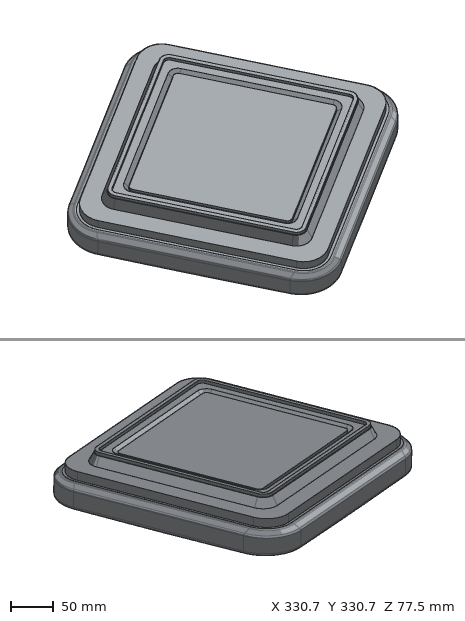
import cadquery as cq
import math


TOTAL_HEIGHT = 77.5
GASKET_HEIGHT = 4.0
LEDGE_HEIGHT = 11.5
BASE_HEIGHT = 11.2
LEDGE_Z = TOTAL_HEIGHT - GASKET_HEIGHT
BASE_TOP_Z = LEDGE_Z - LEDGE_HEIGHT
BASE_Z = BASE_TOP_Z - BASE_HEIGHT

DIFFUSER_SIDE = 330.7
DIFFUSER_CORNER = 48.5
RIM_INSET = 8.0
RIM_CORNER = 37.0
SHOULDER_HEIGHT = 6.3
DOME_EDGE_Z = 19.5
DOME_EDGE_SLOPE = 0.4
DOME_FILLET = 4.0
SHOULDER_FILLET = 3.5
RIM_FILLET = 2.5
LEVEL_TOLERANCE = 0.03

CORNER_CENTRE = 120.7
FLANGE_SIDE = 308.2
FLANGE_THICKNESS = 3.3
BASE_SIDE = 301.0

LEDGE_CORNER_CENTRE = 108.5
LEDGE_FOOT_SIDE = 255.3
LEDGE_SIDE = 242.7
GASKET_SIDE = 240.7
GASKET_WIDTH = 5.0

RECESS_CORNER_CENTRE = 93.3
RECESS_SIDE = 211.0
RECESS_FLOOR_SIDE = 199.0
RECESS_DEPTH = 5.5

PANEL_SIDE = 198.5
PANEL_DROP = 2.0


def rounded_square(side, corner, z):
    """Sketch of a centred square with round corners at height z."""
    sketch = cq.Sketch().rect(side, side).vertices().fillet(corner)
    return sketch.moved(cq.Location(cq.Vector(0, 0, z)))


def block(side, corner_centre, z, height, top_side=None):
    """Rounded square block, tapered to top_side; its corners stay centred on corner_centre."""
    slope = 0 if top_side is None else math.degrees(math.atan2((side - top_side) / 2, height))
    outline = rounded_square(side, side / 2 - corner_centre, z)
    return cq.Workplane().placeSketch(outline).extrude(height, taper=slope)


def dome_face(outline):
    """Shallow pillow surface from the outline down to its lowest point."""
    half = DIFFUSER_SIDE / 2
    ribs = []
    for x, y in ((1, 0), (0, 1)):
        start = cq.Vector(-half * x, -half * y, DOME_EDGE_Z)
        lowest = cq.Vector(0, 0, 0)
        end = cq.Vector(half * x, half * y, DOME_EDGE_Z)
        falling = cq.Vector(x, y, -DOME_EDGE_SLOPE)
        rising = cq.Vector(x, y, DOME_EDGE_SLOPE)
        ribs.append(cq.Edge.makeSpline([start, lowest, end], tangents=[falling, rising]))
    return cq.Face.makeNSidedSurface(outline.Edges(), ribs)


def edges_at(body, z):
    """Level edges of the body at height z."""
    reach = DIFFUSER_SIDE
    low = (-reach, -reach, z - LEVEL_TOLERANCE)
    high = (reach, reach, z + LEVEL_TOLERANCE)
    level_edges = cq.selectors.BoxSelector(low, high, boundingbox=True)
    return cq.Workplane(body).edges(level_edges).vals()


def make_diffuser():
    """Domed body with softened edges, with a seat in its top for the flange of the base."""
    shoulder_z = BASE_Z - SHOULDER_HEIGHT
    rim_side = DIFFUSER_SIDE - 2 * RIM_INSET
    outlines = [
        rounded_square(DIFFUSER_SIDE, DIFFUSER_CORNER, DOME_EDGE_Z),
        rounded_square(DIFFUSER_SIDE, DIFFUSER_CORNER, shoulder_z),
        rounded_square(rim_side, RIM_CORNER, BASE_Z),
    ]
    wall = cq.Workplane().placeSketch(*outlines).loft(ruled=True)
    bottom = wall.faces("<Z").val()
    walls_and_top = wall.faces("not <Z").vals()
    dome = dome_face(bottom.outerWire())
    body = cq.Solid.makeSolid(cq.Shell.makeShell(walls_and_top + [dome])).fix()
    body = body.fillet(DOME_FILLET, edges_at(body, DOME_EDGE_Z))
    body = body.fillet(SHOULDER_FILLET, edges_at(body, shoulder_z))
    body = body.fillet(RIM_FILLET, edges_at(body, BASE_Z))
    return cq.Workplane(body).cut(make_flange())


def make_flange():
    """Bottom flange of the base, flush with the top of the diffuser."""
    return block(FLANGE_SIDE, CORNER_CENTRE, BASE_Z - FLANGE_THICKNESS, FLANGE_THICKNESS)


def make_base():
    """Mounting base: a flange, a foot, a raised tapered ledge and a shallow recess in its top."""
    foot = block(BASE_SIDE, CORNER_CENTRE, BASE_Z, BASE_HEIGHT)
    ledge = block(LEDGE_FOOT_SIDE, LEDGE_CORNER_CENTRE, BASE_TOP_Z, LEDGE_HEIGHT, LEDGE_SIDE)
    floor_z = LEDGE_Z - RECESS_DEPTH
    recess = block(RECESS_FLOOR_SIDE, RECESS_CORNER_CENTRE, floor_z, RECESS_DEPTH, RECESS_SIDE)
    return make_flange().union(foot).union(ledge).cut(recess)


def make_gasket():
    """Flat square ring on the ledge."""
    opening_side = GASKET_SIDE - 2 * GASKET_WIDTH
    outer = block(GASKET_SIDE, LEDGE_CORNER_CENTRE, LEDGE_Z, GASKET_HEIGHT)
    opening = block(opening_side, LEDGE_CORNER_CENTRE, LEDGE_Z, GASKET_HEIGHT)
    return outer.cut(opening)


def make_panel():
    """Upright plate standing on the recess floor."""
    thickness = RECESS_DEPTH - PANEL_DROP
    return block(PANEL_SIDE, RECESS_CORNER_CENTRE, LEDGE_Z - RECESS_DEPTH, thickness)


diffuser = make_diffuser()
base = make_base()
gasket = make_gasket()
panel = make_panel()

result = cq.Compound.makeCompound([diffuser.val(), base.val(), gasket.val(), panel.val()])